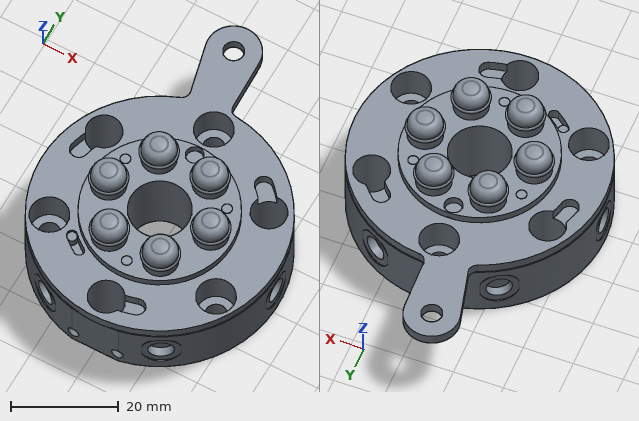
import cadquery as cq
import math

outer_radius = 25.0
body_height = 11.5
plate_thickness = 2.15
plate_top = body_height + plate_thickness
hub_diameter = 30.4
hub_thickness = 1.6
hub_top = plate_top + hub_thickness
bore_diameter = 12.0
body_edge_chamfer = 0.15
front_flat_width = 9.95
front_flat_distance = math.sqrt(outer_radius**2 - (front_flat_width / 2) ** 2)

overall_length = 67.2
arm_end_radius = 5.4
arm_end_y = overall_length - outer_radius - arm_end_radius
arm_end_x = -5.0
arm_distance = math.hypot(arm_end_x, arm_end_y)
arm_tilt = math.degrees(math.atan2(-arm_end_x, arm_end_y))
arm_taper = 6
arm_root_fillet = 1.75
arm_hole_diameter = 4

screw_circle_radius = 20.5
screw_angles = (90, 210, 330)
screw_diameter = 4.2
screw_head_diameter = 7.5
screw_head_depth = 6.7
keyhole_circle_radius = 20.3
keyhole_angles = (30, 150, 270)
keyhole_diameter = 7.0
keyhole_slot_width = 3.5
keyhole_slot_sweep = 17

stop_circle_radius = 16.95
stop_slot_start = 225
stop_slot_sweep = 12
stop_pin_diameter = 2
stop_pin_drop = 0.55

port_count = 6
port_height = 6.1
port_spotface_diameter = 7.8
port_spotface_distance = 24.7
port_diameter = 5.0
port_depth = 1.8

dimple_angle = 10.7
dimple_height = 2.5
dimple_mouth_diameter = 2.5
dimple_floor_diameter = 1.15
dimple_depth = 1.6

button_count = 6
button_circle_radius = 10.9
button_radius = 6.8 / 2
collar_radius = 7.5 / 2
collar_bottom = hub_top + 2.2
collar_top = collar_bottom + 0.75
dome_bottom = collar_top + 0.4
dome_top = 20.6
dome_flat_radius = 3.5 / 2
cap_radius = 3.15 / 2
button_top = 20.9

mark_angles = (30, 150, 270)
mark_circle_radius = 12.5
mark_diameter = 2
mark_depth = 0.1
locating_hole_diameter = 3.5
locating_hole_y = 13.25

cut_margin = 3.35


def polar(radius, angle):
    """Point in the XY plane at a radius and an angle in degrees."""
    return (radius * math.cos(math.radians(angle)), radius * math.sin(math.radians(angle)))


def cylinder(diameter, bottom, top, center=(0, 0)):
    """Vertical cylinder between two heights."""
    return cq.Workplane("XY", origin=(*center, bottom)).circle(diameter / 2).extrude(top - bottom)


def curved_slot(radius, width, start, sweep):
    """Slot through the plate that follows a circle and has round ends."""
    inner = radius - width / 2
    outer = radius + width / 2
    end = start + sweep
    middle = start + sweep / 2
    slot = (
        cq.Workplane("XY", origin=(0, 0, body_height))
        .moveTo(*polar(inner, start))
        .threePointArc(polar(inner, middle), polar(inner, end))
        .lineTo(*polar(outer, end))
        .threePointArc(polar(outer, middle), polar(outer, start))
        .close()
        .extrude(plate_thickness)
    )
    for angle in (start, end):
        slot = slot.union(cylinder(width, body_height, plate_top, polar(radius, angle)))
    return slot


def make_body():
    body = cylinder(2 * outer_radius, 0, body_height).faces(">Z").chamfer(body_edge_chamfer)
    beyond_flat = (
        cq.Workplane("XY", origin=(0, -front_flat_distance - cut_margin / 2, 0))
        .rect(front_flat_width + cut_margin, cut_margin)
        .extrude(body_height)
    )
    return body.cut(beyond_flat)


def make_plate():
    tangent_x = arm_end_radius * math.cos(math.radians(arm_taper))
    tangent_y = arm_distance - arm_end_radius * math.sin(math.radians(arm_taper))
    root_x = tangent_x - tangent_y * math.tan(math.radians(arm_taper))
    arm = (
        cq.Workplane("XY", origin=(0, 0, body_height))
        .moveTo(root_x, 0)
        .lineTo(tangent_x, tangent_y)
        .threePointArc((0, arm_distance + arm_end_radius), (-tangent_x, tangent_y))
        .lineTo(-root_x, 0)
        .close()
        .extrude(plate_thickness)
    )
    plate = cylinder(2 * outer_radius, body_height, plate_top).union(arm)
    root_zone = cq.selectors.BoxSelector(
        (-arm_end_radius, outer_radius - arm_end_radius, 0),
        (arm_end_radius, outer_radius, plate_top),
    )
    plate = plate.edges("|Z").edges(root_zone).fillet(arm_root_fillet)
    plate = plate.cut(cylinder(arm_hole_diameter, body_height, plate_top, (0, arm_distance)))
    return plate.rotate((0, 0, 0), (0, 0, 1), arm_tilt)


def cut_plate_holes(part):
    for angle in screw_angles:
        center = polar(screw_circle_radius, angle)
        part = part.cut(cylinder(screw_diameter, 0, plate_top, center))
        part = part.cut(cylinder(screw_head_diameter, plate_top - screw_head_depth, plate_top, center))
    for angle in keyhole_angles:
        part = part.cut(cylinder(keyhole_diameter, 0, plate_top, polar(keyhole_circle_radius, angle)))
        slot = curved_slot(keyhole_circle_radius, keyhole_slot_width, angle, keyhole_slot_sweep)
        part = part.cut(slot)
    return part


def add_stop(part):
    part = part.cut(curved_slot(stop_circle_radius, stop_pin_diameter, stop_slot_start, stop_slot_sweep))
    pin_center = polar(stop_circle_radius, stop_slot_start)
    return part.union(cylinder(stop_pin_diameter, body_height, plate_top - stop_pin_drop, pin_center))


def side_plane(angle, distance, height):
    """Work plane on the side wall that faces outwards."""
    direction = polar(1, angle)
    origin = (*polar(distance, angle), height)
    return cq.Workplane(cq.Plane(origin=origin, xDir=(0, 0, 1), normal=(*direction, 0)))


def cut_ports(part):
    for index in range(port_count):
        wall = side_plane(index * 360 / port_count, port_spotface_distance, port_height)
        part = part.cut(wall.circle(port_spotface_diameter / 2).extrude(cut_margin))
        part = part.cut(wall.circle(port_diameter / 2).extrude(-port_depth))
    return part


def cut_dimples(part):
    for side in (-1, 1):
        angle = 270 + side * dimple_angle
        wall = side_plane(angle, outer_radius, dimple_height)
        cone = (
            wall.circle(dimple_mouth_diameter / 2)
            .workplane(offset=-dimple_depth)
            .circle(dimple_floor_diameter / 2)
            .loft()
        )
        part = part.cut(cone)
    return part


def make_button():
    cap_rise = button_top - dome_top
    dome_middle = (
        dome_flat_radius + (button_radius - dome_flat_radius) * math.sqrt(0.5),
        dome_bottom + (dome_top - dome_bottom) * math.sqrt(0.5),
    )
    cap_sphere_radius = (cap_radius**2 + cap_rise**2) / (2 * cap_rise)
    cap_middle_x = cap_radius / 2
    cap_middle_z = button_top - cap_sphere_radius + math.sqrt(cap_sphere_radius**2 - cap_middle_x**2)
    return (
        cq.Workplane("XZ")
        .moveTo(0, plate_top)
        .lineTo(button_radius, plate_top)
        .lineTo(button_radius, collar_bottom)
        .threePointArc((collar_radius, (collar_bottom + collar_top) / 2), (button_radius, collar_top))
        .lineTo(button_radius, dome_bottom)
        .threePointArc(dome_middle, (dome_flat_radius, dome_top))
        .lineTo(cap_radius, dome_top)
        .threePointArc((cap_middle_x, cap_middle_z), (0, button_top))
        .close()
        .revolve(360, (0, 0, 0), (0, 1, 0))
    )


def make_hub():
    hub = cylinder(hub_diameter, plate_top, hub_top)
    hub = hub.cut(cylinder(locating_hole_diameter, plate_top, hub_top, (0, locating_hole_y)))
    for angle in mark_angles:
        center = polar(mark_circle_radius, angle)
        hub = hub.cut(cylinder(mark_diameter, hub_top - mark_depth, hub_top, center))
    button = make_button()
    for index in range(button_count):
        x, y = polar(button_circle_radius, index * 360 / button_count)
        hub = hub.union(button.translate((x, y, 0)))
    return hub


part = make_body().union(make_plate())
part = cut_plate_holes(part)
part = add_stop(part)
part = cut_ports(part)
part = cut_dimples(part)
part = part.union(make_hub())
result = part.cut(cylinder(bore_diameter, 0, hub_top))